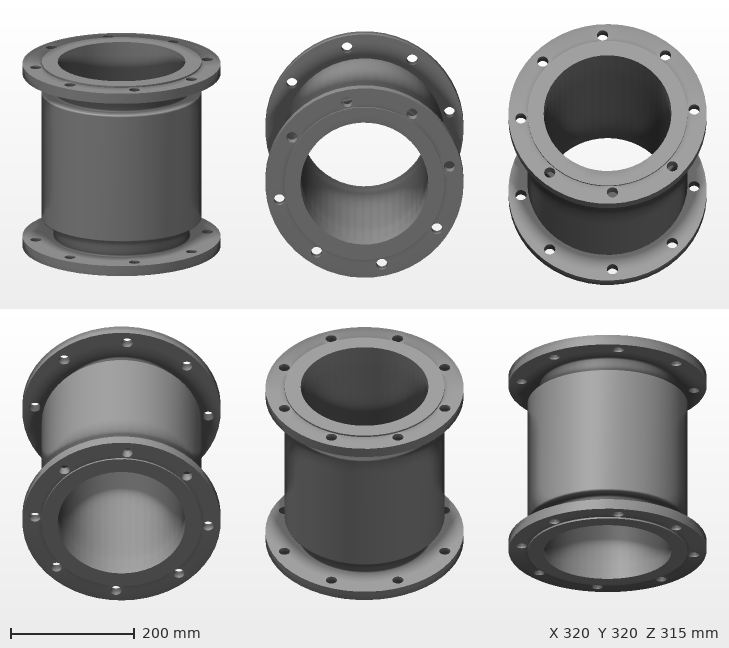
import cadquery as cq

flange_diameter = 320.0
total_height = 315.0
raised_face_diameter = 258.0
raised_face_height = 3.0
flange_thickness = 17.0
neck_diameter = 219.2
body_diameter = 259.0
body_height = 215.0
bore_diameter = 206.0

bolt_count = 8
bolt_circle_diameter = 280.0
bolt_hole_diameter = 18.0

body_edge_fillet = 3.0
body_neck_fillet = 3.0
flange_neck_fillet = 2.5

edge_margin = 0.3

face_level = total_height / 2
flange_outer_level = face_level - raised_face_height
flange_inner_level = flange_outer_level - flange_thickness
body_level = body_height / 2


def disc(diameter, bottom, top):
    """Solid cylinder on the Z axis between two heights."""
    return cq.Workplane("XY").workplane(offset=bottom).circle(diameter / 2).extrude(top - bottom)


def circle_at(level, diameter):
    """Selector for the circular edge of one diameter at one height."""
    outer_reach = diameter / 2 + edge_margin
    inner_reach = diameter / 2 - edge_margin
    low = level - edge_margin
    high = level + edge_margin
    outer_box = cq.selectors.BoxSelector(
        (-outer_reach, -outer_reach, low), (outer_reach, outer_reach, high), boundingbox=True
    )
    inner_box = cq.selectors.BoxSelector(
        (-inner_reach, -inner_reach, low), (inner_reach, inner_reach, high), boundingbox=True
    )
    return outer_box - inner_box


spool = disc(neck_diameter, -face_level, face_level)
spool = spool.union(disc(body_diameter, -body_level, body_level))
spool = spool.union(disc(raised_face_diameter, flange_outer_level, face_level))
spool = spool.union(disc(raised_face_diameter, -face_level, -flange_outer_level))
spool = spool.union(disc(flange_diameter, flange_inner_level, flange_outer_level))
spool = spool.union(disc(flange_diameter, -flange_outer_level, -flange_inner_level))

for side in (1, -1):
    spool = spool.edges(circle_at(side * body_level, body_diameter)).fillet(body_edge_fillet)
    spool = spool.edges(circle_at(side * body_level, neck_diameter)).fillet(body_neck_fillet)
    spool = spool.edges(circle_at(side * flange_inner_level, neck_diameter)).fillet(flange_neck_fillet)

spool = spool.cut(disc(bore_diameter, -face_level, face_level))

bolt_holes = (
    cq.Workplane("XY")
    .workplane(offset=-face_level)
    .polarArray(bolt_circle_diameter / 2, 180 / bolt_count, 360, bolt_count)
    .circle(bolt_hole_diameter / 2)
    .extrude(total_height)
)
result = spool.cut(bolt_holes)